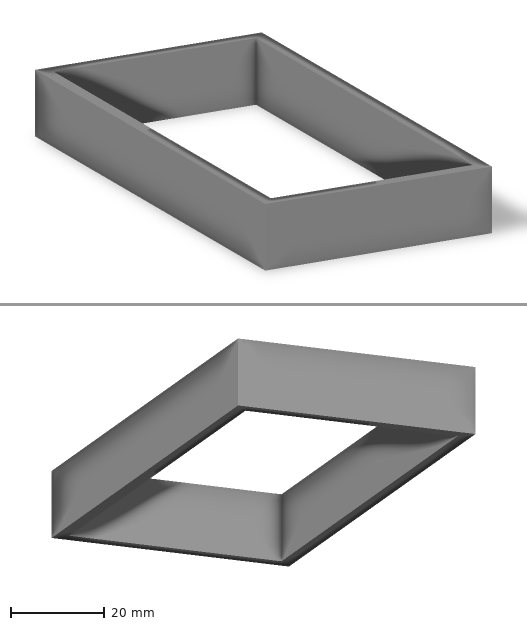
import cadquery as cq

length = 105.0
width = 55.0
height = 15.0
wall = 2.9

opening_length = length - 2 * wall
opening_width = width - 2 * wall

result = (
    cq.Workplane("XY")
    .rect(length, width)
    .rect(opening_length, opening_width)
    .extrude(height)
)